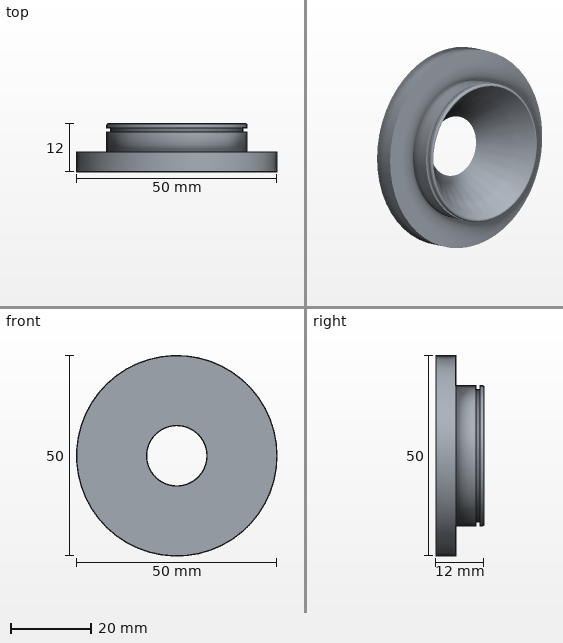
import cadquery as cq

total_length = 12.03
flange_diameter = 50.0
flange_thickness = 5.0

hub_diameter = 35.0
groove_diameter = 33.0
groove_start = 10.0
groove_width = 1.0
groove_end = groove_start + groove_width
lip_fillet = 0.5

bore_front_diameter = 15.0
bore_rear_diameter = 33.7


def disc(diameter, start, end):
    """Solid disc about the Y axis between two Y positions."""
    front_plane = cq.Workplane("XZ", origin=(0, start, 0))
    return front_plane.circle(diameter / 2).extrude(start - end)


def make_lip():
    """Rear lip of the hub, with its outer rear edge rounded."""
    lip = disc(hub_diameter, groove_end, total_length)
    return lip.faces(">Y").edges().fillet(lip_fillet)


def make_body():
    """Flange, hub, groove floor and lip stacked along Y."""
    flange = disc(flange_diameter, 0, flange_thickness)
    hub = disc(hub_diameter, flange_thickness, groove_start)
    groove_floor = disc(groove_diameter, groove_start, groove_end)
    return flange.union(hub).union(groove_floor).union(make_lip())


def make_bore():
    """Cone frustum about the Y axis, as long as the part."""
    half_section = (
        cq.Workplane("XY")
        .lineTo(bore_front_diameter / 2, 0)
        .lineTo(bore_rear_diameter / 2, total_length)
        .lineTo(0, total_length)
        .close()
    )
    return half_section.revolve(360, (0, 0, 0), (0, 1, 0))


result = make_body().cut(make_bore())